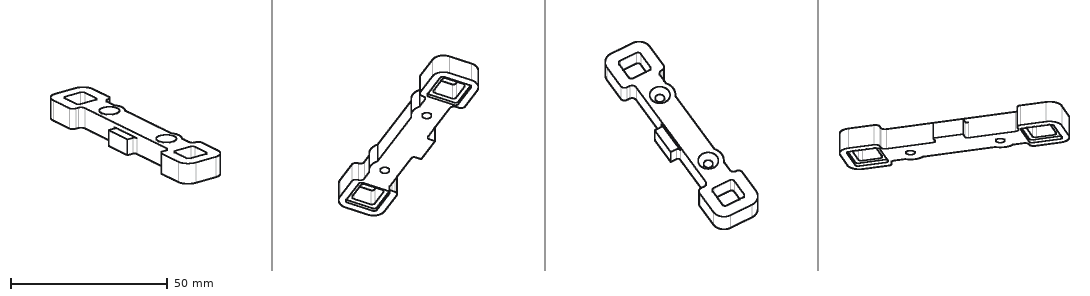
import cadquery as cq

length = 74.0
width = 16.0
thickness = 7.0

pad_length = 14.0
outer_corner_radius = 4.0
inner_corner_radius = 1.5
window_length = 8.0
window_width = 8.0
window_corner_radius = 0.95
window_margin = 3.9
recess_step = 1.5
recess_depth = 1.0

bar_front = -4.0
bar_back = 5.0
front_neck_radius = 1.5
back_neck_radius = 1.3

hole_spacing = 30.05
hole_y = 0.95
hole_diameter = 2.95
sink_diameter = 6.5
sink_angle = 90.0
bulge_radius = 5.0

tab_length = 10.0
tab_front = -7.0
tab_top_drop = 1.55
tab_height = thickness - tab_top_drop
tab_root_radius = 0.9

pad_inner_x = length / 2 - pad_length
pad_center_x = length / 2 - pad_length / 2
window_center_x = length / 2 - window_margin - window_length / 2
hole_points = [(-hole_spacing / 2, hole_y), (hole_spacing / 2, hole_y)]


def block(x_size, y_min, y_max, height):
    """Box centred on X, standing on the bottom plane."""
    y_size = y_max - y_min
    return (
        cq.Workplane("XY")
        .center(0, (y_min + y_max) / 2)
        .rect(x_size, y_size)
        .extrude(height)
    )


def edges_near(x, y_min, y_max):
    """Selector for the upright edges at +x and -x between two Y limits."""
    reach = 0.1
    left, right = [
        cq.selectors.BoxSelector((center - reach, y_min, 0), (center + reach, y_max, thickness))
        for center in (-x, x)
    ]
    return left + right


def make_pad(side):
    """End pad with large outer corners and small inner corners."""
    outer, inner = (">X", "<X") if side > 0 else ("<X", ">X")
    return (
        block(pad_length, -width / 2, width / 2, thickness)
        .edges("|Z and " + outer)
        .fillet(outer_corner_radius)
        .edges("|Z and " + inner)
        .fillet(inner_corner_radius)
        .translate((side * pad_center_x, 0, 0))
    )


def rounded_window(x_size, y_size, height):
    """Upright rectangular block with rounded corners."""
    return block(x_size, -y_size / 2, y_size / 2, height).edges("|Z").fillet(window_corner_radius)


def make_window(side):
    """Rounded square opening through an end pad, with a wider recess underneath."""
    opening = rounded_window(window_length, window_width, thickness)
    recess = rounded_window(
        window_length + 2 * recess_step,
        window_width + 2 * recess_step,
        recess_depth,
    )
    return opening.union(recess).translate((side * window_center_x, 0, 0))


plate = block(2 * (pad_inner_x + inner_corner_radius), bar_front, bar_back, thickness)
for side in (-1, 1):
    plate = plate.union(make_pad(side))
plate = plate.edges("|Z").edges(edges_near(pad_inner_x, -width / 2, 0)).fillet(front_neck_radius)
plate = plate.edges("|Z").edges(edges_near(pad_inner_x, 0, width / 2)).fillet(back_neck_radius)

tab = block(tab_length, tab_front, 0, tab_height)
plate = plate.union(tab)
tab_middle_y = (tab_front + bar_front) / 2
tab_root_edges = edges_near(tab_length / 2, tab_middle_y, 0)
plate = plate.edges("|Z").edges(tab_root_edges).fillet(tab_root_radius)

bulges = cq.Workplane("XY").pushPoints(hole_points).circle(bulge_radius).extrude(thickness)
bulges = bulges.intersect(block(length, 0, width / 2, thickness))
plate = plate.union(bulges)
plate = (
    plate.faces(">Z")
    .workplane(origin=(0, 0, thickness))
    .pushPoints(hole_points)
    .cskHole(hole_diameter, sink_diameter, sink_angle)
)

for side in (-1, 1):
    plate = plate.cut(make_window(side))

result = plate